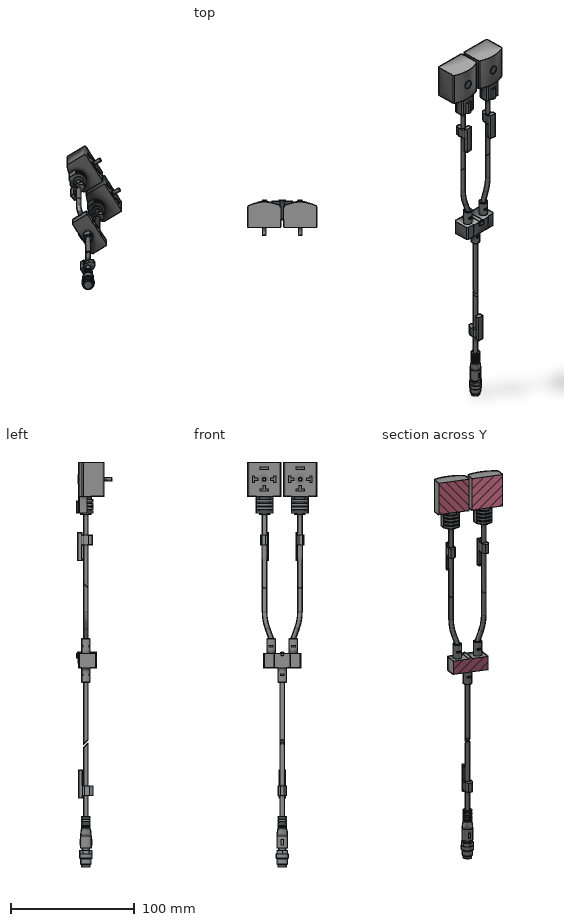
import cadquery as cq
import math


CABLE_DIAMETER = 3.8
CABLE_RADIUS = CABLE_DIAMETER / 2
OVERALL_HEIGHT = 326.5
BACK_Y = 7.41
OVERALL_DEPTH = 28.33

PLUG_WIDTH = 26.8
PLUG_HEIGHT = 27.3
PLUG_OUTER_X = 28.0
PLUG_X = PLUG_OUTER_X - PLUG_WIDTH / 2
PLUG_BASE_Z = OVERALL_HEIGHT - PLUG_HEIGHT
PLUG_CENTRE_Z = PLUG_BASE_Z + PLUG_HEIGHT / 2
PLUG_FRONT_Y = -14.75
PLUG_SIDE_BACK_Y = 2.0
PLUG_ARCH_EDGE_Y = 3.1
PLUG_ARCH_PEAK_Y = 5.9
PLUG_BACK_BEVEL = 0.8
PLUG_FRONT_FILLET = 1.0
SCREW_DIAMETER = 3.0
SCREW_TIP_CHAMFER = 0.3
SCREW_TIP_Y = BACK_Y - OVERALL_DEPTH
SCREW_HEAD_DIAMETER = 6.9
SCREW_HEAD_BACK_Y = 6.3
FACE_RECESS_DEPTH = 0.8
CONTACT_OUTER_DISTANCE = 9.5
CONTACT_STEM_INNER_DISTANCE = 5.1
CONTACT_BAR_THICKNESS = 1.8
CONTACT_STEM_WIDTH = 2.2
SIDE_CONTACT_BAR = 5.2
GROUND_CONTACT_BAR = 7.0
FACE_MARK_WIDTH = 7.0
FACE_MARK_HEIGHT = 2.0
FACE_MARK_OFFSET_Z = 9.0

BRANCH_X = 14.25
GLAND_BASE_Z = 285.5
GLAND_HALF_WIDTH = 6.9
GLAND_FRONT_Y = -5.95
GLAND_FLANK_FRONT_Y = -0.95
GLAND_FLANK_BACK_Y = 4.95
GLAND_BACK_Y = 5.9
GLAND_BACK_HALF_WIDTH = 5.4
GLAND_CORE_RADIUS = 4.4
RIDGE_THICKNESS = 2.0
RIDGE_PITCH = 3.0
RIDGE_COUNT = 4
GLAND_COLLAR_DIAMETER = 8.5
GLAND_COLLAR_HEIGHT = 1.0
GLAND_RIB_TOP_WIDTH = 3.0
GLAND_RIB_BASE_WIDTH = 5.0
GLAND_RIB_HEIGHT = 10.0

BRANCH_CUT_Z = 227.0
MAIN_CUT_UPPER_Z = 100.9
MAIN_CUT_LOWER_Z = 98.3

DISTRIBUTOR_BASE_Z = 160.8
DISTRIBUTOR_TOP_Z = 172.5
DISTRIBUTOR_HALF_WIDTH = 15.2
DISTRIBUTOR_FRONT_Y = -8.75
DISTRIBUTOR_BACK_Y = 5.9
DISTRIBUTOR_CHAMFER = 0.9
DISTRIBUTOR_GROOVE_X = 6.4
DISTRIBUTOR_GROOVE_SIZE = 0.3
BACK_WEDGE_HALF_WIDTH = 8.3
BACK_WEDGE_Y = 6.7
BACK_TAB_WIDTH = 5.0
BACK_TAB_HEIGHT = 3.8
BEAD_DIAMETER = 3.8
BEAD_HOLE_DIAMETER = 2.2
BEAD_HOLE_DEPTH = 1.0
BEAD_AXIS_Z = 171.6
SLEEVE_DIAMETER = 7.0
SLEEVE_LENGTH = 11.8
SLEEVE_CHAMFER = 0.4
SLEEVE_X = 8.9
WINDOW_WIDTH = 3.2
WINDOW_HEIGHT = 1.2
WINDOW_DEPTH = 1.0
WINDOW_OFFSET = 5.5

BEND_START_Z = 205.8
BEND_RADIUS = 38.5
SLEEVE_TOP_Z = DISTRIBUTOR_TOP_Z + SLEEVE_LENGTH
BRANCH_END_DEPTH = 2.0

PLATE_LENGTH = 22.6
PLATE_FRONT_Y = 2.9
PLATE_BACK_Y = 5.85
PLATE_LIP = 1.2
PLATE_LIP_FRONT_Y = 2.4
CLIP_LENGTH = 7.8
CLIP_INSET = 2.0
CLIP_FRONT_Y = -5.85
CLIP_FRONT_HALF_WIDTH = 1.4
CLIP_SHOULDER_Y = -2.95
CLIP_CHEEK_Y = 0.95
BRANCH_LABEL_Z = 247.2
BRANCH_LABEL_TURN = 7.0
BRANCH_LABEL_SHIFT_Y = 0.5
BRANCH_PLATE_WIDTH = 5.2
BRANCH_CLIP_WIDTH = 5.8
MAIN_LABEL_Z = 55.7
MAIN_PLATE_WIDTH = 5.0
MAIN_CLIP_WIDTH = 6.8

CONNECTOR_TOP_Z = 40.9
GRIP_RADIUS = 3.5
GRIP_GROOVE_RADIUS = 2.95
GRIP_GROOVES = ((39.0, 1.4), (36.1, 1.4), (33.5, 0.8), (31.8, 0.8))
SHOULDER_TOP_Z = 30.8
SHOULDER_BASE_Z = 26.5
BODY_RADIUS = 4.4
SHOULDER_RADIUS = 4.25
BODY_TOP_Z = 25.3
BODY_BASE_Z = 15.4
NECK_RADIUS = 2.95
NUT_TOP_Z = 13.5
NUT_CORNER_RADIUS = 5.0
FLANGE_TOP_Z = 10.6
FLANGE_RADIUS = 5.0
FLANGE_BASE_Z = 7.4
SPIGOT_RADIUS = 4.25
SPIGOT_TOP_Z = 6.6
SPIGOT_BASE_Z = 2.6
TIP_TOP_Z = 1.7
TIP_RADIUS = 3.45
BODY_MARK_WIDTH = 1.8
BODY_MARK_BASE_Z = 18.0
BODY_MARK_HEIGHT = 4.3
BODY_MARK_BACK_Y = 4.8


def block(x_range, y_range, z_range):
    """Box between two limits along each axis."""
    sizes = [high - low for low, high in (x_range, y_range, z_range)]
    return cq.Workplane("XY").box(*sizes, centered=False).translate((x_range[0], y_range[0], z_range[0]))


def centred(width, middle=0.0):
    """Pair of limits lying evenly about a middle."""
    return (middle - width / 2, middle + width / 2)


def post(radius, base_z, top_z, x=0.0):
    """Vertical cylinder on the cable plane."""
    return cq.Workplane("XY", origin=(x, 0, base_z)).circle(radius).extrude(top_z - base_z)


def rod_along_y(diameter, y_range, x, z):
    """Cylinder parallel to Y."""
    sketch_plane = cq.Workplane("XZ", origin=(x, y_range[1], z))
    return sketch_plane.circle(diameter / 2).extrude(y_range[1] - y_range[0])


def oblique_end(cable, x, axis_z, slope, keep_above):
    """Cut a vertical cable along a 45 degree plane that leans in the YZ plane."""
    reach = 2 * CABLE_DIAMETER
    far_side = -1 if keep_above else 1
    far_z = axis_z + far_side * 2 * reach
    waste = (
        cq.Workplane("YZ", origin=(x - reach, 0, 0))
        .polyline([
            (-reach, axis_z - slope * reach),
            (reach, axis_z + slope * reach),
            (reach, far_z),
            (-reach, far_z),
        ])
        .close()
        .extrude(2 * reach)
    )
    return cable.cut(waste)


def mirrored(half):
    """The same body on the other side of the YZ plane, as a separate solid."""
    return half.mirror("YZ")



def plug_housing():
    half = PLUG_WIDTH / 2
    arch_half = half - PLUG_BACK_BEVEL
    return (
        cq.Workplane("XY", origin=(PLUG_X, 0, PLUG_BASE_Z))
        .moveTo(-half, PLUG_FRONT_Y)
        .lineTo(half, PLUG_FRONT_Y)
        .lineTo(half, PLUG_SIDE_BACK_Y)
        .lineTo(arch_half, PLUG_ARCH_EDGE_Y)
        .threePointArc((0, PLUG_ARCH_PEAK_Y), (-arch_half, PLUG_ARCH_EDGE_Y))
        .lineTo(-half, PLUG_SIDE_BACK_Y)
        .close()
        .extrude(PLUG_HEIGHT)
        .edges("|Z and <Y")
        .fillet(PLUG_FRONT_FILLET)
    )


def contact_recess(bar_length, turn):
    """T-shaped recess with its bar outermost, turned about the screw axis."""
    y_range = (PLUG_FRONT_Y, PLUG_FRONT_Y + FACE_RECESS_DEPTH)
    bar_inner = CONTACT_OUTER_DISTANCE - CONTACT_BAR_THICKNESS
    bar = block((bar_inner, CONTACT_OUTER_DISTANCE), y_range, centred(bar_length))
    stem = block((CONTACT_STEM_INNER_DISTANCE, CONTACT_OUTER_DISTANCE), y_range, centred(CONTACT_STEM_WIDTH))
    recess = bar.union(stem).rotate((0, 0, 0), (0, 1, 0), turn)
    return recess.translate((PLUG_X, 0, PLUG_CENTRE_Z))


def plug_face_recesses():
    y_range = (PLUG_FRONT_Y, PLUG_FRONT_Y + FACE_RECESS_DEPTH)
    mark_z = PLUG_CENTRE_Z + FACE_MARK_OFFSET_Z
    recesses = block(centred(FACE_MARK_WIDTH, PLUG_X), y_range, centred(FACE_MARK_HEIGHT, mark_z))
    for bar_length, turn in ((SIDE_CONTACT_BAR, 0), (GROUND_CONTACT_BAR, 90), (SIDE_CONTACT_BAR, 180)):
        recesses = recesses.union(contact_recess(bar_length, turn))
    return recesses


def plug_screw():
    shank = rod_along_y(SCREW_DIAMETER, (SCREW_TIP_Y, 0), PLUG_X, PLUG_CENTRE_Z)
    shank = shank.faces("<Y").chamfer(SCREW_TIP_CHAMFER)
    head = rod_along_y(SCREW_HEAD_DIAMETER, (0, SCREW_HEAD_BACK_Y), PLUG_X, PLUG_CENTRE_Z)
    return shank.union(head)


def gland_ridge(base_z):
    """Front half of the gland outline, one ridge thick."""
    return (
        cq.Workplane("XY", origin=(BRANCH_X, 0, base_z))
        .moveTo(-GLAND_HALF_WIDTH, GLAND_FLANK_FRONT_Y)
        .threePointArc((0, GLAND_FRONT_Y), (GLAND_HALF_WIDTH, GLAND_FLANK_FRONT_Y))
        .close()
        .extrude(RIDGE_THICKNESS)
    )


def plug_gland():
    gland = (
        cq.Workplane("XY", origin=(BRANCH_X, 0, GLAND_BASE_Z))
        .polyline([
            (-GLAND_HALF_WIDTH, GLAND_FLANK_FRONT_Y),
            (GLAND_HALF_WIDTH, GLAND_FLANK_FRONT_Y),
            (GLAND_HALF_WIDTH, GLAND_FLANK_BACK_Y),
            (GLAND_BACK_HALF_WIDTH, GLAND_BACK_Y),
            (-GLAND_BACK_HALF_WIDTH, GLAND_BACK_Y),
            (-GLAND_HALF_WIDTH, GLAND_FLANK_BACK_Y),
        ])
        .close()
        .extrude(PLUG_BASE_Z - GLAND_BASE_Z)
    )
    gland = gland.union(post(GLAND_CORE_RADIUS, GLAND_BASE_Z, PLUG_BASE_Z, BRANCH_X))
    for index in range(RIDGE_COUNT):
        gland = gland.union(gland_ridge(GLAND_BASE_Z + index * RIDGE_PITCH))
    back_rib = (
        cq.Workplane("XY", origin=(BRANCH_X, 0, GLAND_BASE_Z))
        .polyline([
            (-GLAND_RIB_BASE_WIDTH / 2, GLAND_FLANK_BACK_Y),
            (GLAND_RIB_BASE_WIDTH / 2, GLAND_FLANK_BACK_Y),
            (GLAND_RIB_BASE_WIDTH / 2, GLAND_BACK_Y),
            (GLAND_RIB_TOP_WIDTH / 2, BACK_Y),
            (-GLAND_RIB_TOP_WIDTH / 2, BACK_Y),
            (-GLAND_RIB_BASE_WIDTH / 2, GLAND_BACK_Y),
        ])
        .close()
        .extrude(GLAND_RIB_HEIGHT)
    )
    collar = post(GLAND_COLLAR_DIAMETER / 2, GLAND_BASE_Z - GLAND_COLLAR_HEIGHT, GLAND_BASE_Z, BRANCH_X)
    return gland.union(back_rib).union(collar)


def valve_plug():
    cable = post(CABLE_RADIUS, BRANCH_CUT_Z - CABLE_DIAMETER, GLAND_BASE_Z, BRANCH_X)
    cable = oblique_end(cable, BRANCH_X, BRANCH_CUT_Z, slope=1, keep_above=True)
    plug = plug_housing().cut(plug_face_recesses())
    return plug.union(plug_screw()).union(plug_gland()).union(cable)



def distributor_block():
    body = block(
        centred(2 * DISTRIBUTOR_HALF_WIDTH),
        (DISTRIBUTOR_FRONT_Y, DISTRIBUTOR_BACK_Y),
        (DISTRIBUTOR_BASE_Z, DISTRIBUTOR_TOP_Z),
    )
    body = body.edges("|Z").chamfer(DISTRIBUTOR_CHAMFER)
    for side in (-1, 1):
        body = body.cut(block(
            centred(DISTRIBUTOR_GROOVE_SIZE, side * DISTRIBUTOR_GROOVE_X),
            (DISTRIBUTOR_FRONT_Y, DISTRIBUTOR_FRONT_Y + DISTRIBUTOR_GROOVE_SIZE),
            (DISTRIBUTOR_BASE_Z, DISTRIBUTOR_TOP_Z),
        ))
    return body


def distributor_back():
    """Wedge that thickens the back toward the top, with a tab at its upper edge."""
    wedge = (
        cq.Workplane("YZ", origin=(-BACK_WEDGE_HALF_WIDTH, 0, 0))
        .polyline([
            (0, DISTRIBUTOR_BASE_Z),
            (DISTRIBUTOR_BACK_Y, DISTRIBUTOR_BASE_Z),
            (BACK_WEDGE_Y, DISTRIBUTOR_TOP_Z),
            (0, DISTRIBUTOR_TOP_Z),
        ])
        .close()
        .extrude(2 * BACK_WEDGE_HALF_WIDTH)
    )
    tab = block(
        centred(BACK_TAB_WIDTH),
        (0, BACK_Y),
        (DISTRIBUTOR_TOP_Z - BACK_TAB_HEIGHT, DISTRIBUTOR_TOP_Z),
    )
    return wedge.union(tab)


def sleeve(x, base_z, free_end, window_z):
    """Cable sleeve with a chamfered free end and a window at front and back."""
    body = post(SLEEVE_DIAMETER / 2, base_z, base_z + SLEEVE_LENGTH, x)
    body = body.faces(free_end).chamfer(SLEEVE_CHAMFER)
    window_y = SLEEVE_DIAMETER / 2 - WINDOW_DEPTH / 2
    for side in (-1, 1):
        body = body.cut(block(
            centred(WINDOW_WIDTH, x),
            centred(WINDOW_DEPTH, side * window_y),
            centred(WINDOW_HEIGHT, window_z),
        ))
    return body


def branch_cable():
    """Cable that comes straight down, bends inward and runs straight on into its sleeve."""
    inward = BRANCH_X - SLEEVE_X
    drop = BEND_START_Z - SLEEVE_TOP_Z
    centre_gap = BEND_RADIUS - inward
    turn = math.atan2(drop, centre_gap) - math.acos(BEND_RADIUS / math.hypot(centre_gap, drop))

    def on_bend(angle):
        shift = BEND_RADIUS * (1 - math.cos(angle))
        return (BRANCH_X - shift, BEND_START_Z - BEND_RADIUS * math.sin(angle))

    path = (
        cq.Workplane("XZ")
        .moveTo(BRANCH_X, BEND_START_Z)
        .threePointArc(on_bend(turn / 2), on_bend(turn))
        .lineTo(
            SLEEVE_X - BRANCH_END_DEPTH * math.sin(turn),
            SLEEVE_TOP_Z - BRANCH_END_DEPTH * math.cos(turn),
        )
    )
    profile = cq.Workplane("XY", origin=(BRANCH_X, 0, BEND_START_Z)).circle(CABLE_RADIUS)
    bent = profile.sweep(path)
    straight = post(CABLE_RADIUS, BEND_START_Z, BRANCH_CUT_Z + CABLE_DIAMETER, BRANCH_X)
    straight = oblique_end(straight, BRANCH_X, BRANCH_CUT_Z, slope=1, keep_above=False)
    return straight.union(bent)


def distributor():
    body = distributor_block().union(distributor_back())

    bead = rod_along_y(BEAD_DIAMETER, (DISTRIBUTOR_FRONT_Y, BACK_WEDGE_Y), 0, BEAD_AXIS_Z)
    hole_limits = (DISTRIBUTOR_FRONT_Y, DISTRIBUTOR_FRONT_Y + BEAD_HOLE_DEPTH)
    bead_hole = rod_along_y(BEAD_HOLE_DIAMETER, hole_limits, 0, BEAD_AXIS_Z)
    body = body.union(bead).cut(bead_hole)

    for side in (-1, 1):
        window_z = DISTRIBUTOR_TOP_Z + WINDOW_OFFSET
        body = body.union(sleeve(side * SLEEVE_X, DISTRIBUTOR_TOP_Z, ">Z", window_z))
    lower_sleeve_z = DISTRIBUTOR_BASE_Z - SLEEVE_LENGTH
    body = body.union(sleeve(0, lower_sleeve_z, "<Z", DISTRIBUTOR_BASE_Z - WINDOW_OFFSET))

    branch = branch_cable()
    main_cable = post(CABLE_RADIUS, MAIN_CUT_UPPER_Z - CABLE_DIAMETER, lower_sleeve_z)
    main_cable = oblique_end(main_cable, 0, MAIN_CUT_UPPER_Z, slope=-1, keep_above=True)
    return body.union(branch).union(mirrored(branch)).union(main_cable)



def connector_core():
    """Turned grip, rounded shoulder, body, neck, flange and spigot."""
    shoulder_step = SHOULDER_RADIUS - GRIP_RADIUS
    shoulder_height = SHOULDER_TOP_Z - SHOULDER_BASE_Z
    shoulder_middle = (SHOULDER_RADIUS - shoulder_step / 4, SHOULDER_BASE_Z + shoulder_height / 2)
    return (
        cq.Workplane("XZ")
        .polyline([
            (0, CONNECTOR_TOP_Z),
            (0, 0),
            (TIP_RADIUS, 0),
            (TIP_RADIUS, TIP_TOP_Z),
            (SPIGOT_RADIUS, SPIGOT_BASE_Z),
            (SPIGOT_RADIUS, SPIGOT_TOP_Z),
            (FLANGE_RADIUS, FLANGE_BASE_Z),
            (FLANGE_RADIUS, FLANGE_TOP_Z),
            (NECK_RADIUS, FLANGE_TOP_Z),
            (NECK_RADIUS, BODY_BASE_Z),
            (BODY_RADIUS, BODY_BASE_Z),
            (BODY_RADIUS, BODY_TOP_Z),
            (SHOULDER_RADIUS, BODY_TOP_Z),
            (SHOULDER_RADIUS, SHOULDER_BASE_Z),
        ])
        .threePointArc(shoulder_middle, (GRIP_RADIUS, SHOULDER_TOP_Z))
        .lineTo(GRIP_RADIUS, CONNECTOR_TOP_Z)
        .close()
        .revolve(360, (0, 0, 0), (0, 1, 0))
    )


def ring(outer_radius, inner_radius, middle_z, height):
    low, high = centred(height, middle_z)
    return post(outer_radius, low, high).cut(post(inner_radius, low, high))


def hex_nut():
    """Hexagon above the flange with two of its corners on the Y axis."""
    nut = cq.Workplane("XY", origin=(0, 0, FLANGE_TOP_Z)).polygon(6, 2 * NUT_CORNER_RADIUS)
    return nut.extrude(NUT_TOP_Z - FLANGE_TOP_Z).rotate((0, 0, 0), (0, 0, 1), 90)


def connector():
    body = connector_core().union(hex_nut())
    for middle_z, height in GRIP_GROOVES:
        body = body.cut(ring(FLANGE_RADIUS, GRIP_GROOVE_RADIUS, middle_z, height))
    mark_limits = (BODY_MARK_BASE_Z, BODY_MARK_BASE_Z + BODY_MARK_HEIGHT)
    marks = block(centred(BODY_MARK_WIDTH), centred(2 * BODY_MARK_BACK_Y), mark_limits)
    cable = post(CABLE_RADIUS, CONNECTOR_TOP_Z, MAIN_CUT_LOWER_Z + CABLE_DIAMETER)
    cable = oblique_end(cable, 0, MAIN_CUT_LOWER_Z, slope=-1, keep_above=False)
    return body.union(marks).union(cable)



def label_clip(plate_width, clip_width):
    """Uncut clip near the top of a label plate; the plate starts at Z = 0."""
    plate = block(centred(plate_width), (PLATE_FRONT_Y, PLATE_BACK_Y), (0, PLATE_LENGTH))
    lip = block(centred(plate_width), (PLATE_LIP_FRONT_Y, PLATE_FRONT_Y), (0, PLATE_LIP))
    clip_z = PLATE_LENGTH - CLIP_INSET - CLIP_LENGTH
    clip = (
        cq.Workplane("XY", origin=(0, 0, clip_z))
        .polyline([
            (-CLIP_FRONT_HALF_WIDTH, CLIP_FRONT_Y),
            (CLIP_FRONT_HALF_WIDTH, CLIP_FRONT_Y),
            (clip_width / 2, CLIP_SHOULDER_Y),
            (clip_width / 2, CLIP_CHEEK_Y),
            (plate_width / 2, PLATE_FRONT_Y),
            (-plate_width / 2, PLATE_FRONT_Y),
            (-clip_width / 2, CLIP_CHEEK_Y),
            (-clip_width / 2, CLIP_SHOULDER_Y),
        ])
        .close()
        .extrude(CLIP_LENGTH)
    )
    return plate.union(lip).union(clip)


def branch_label_clip():
    clip = label_clip(BRANCH_PLATE_WIDTH, BRANCH_CLIP_WIDTH)
    clip = clip.rotate((0, 0, 0), (0, 0, 1), BRANCH_LABEL_TURN)
    clip = clip.translate((0, BRANCH_LABEL_SHIFT_Y, 0))
    clip = clip.cut(post(CABLE_RADIUS, 0, PLATE_LENGTH))
    return clip.translate((BRANCH_X, 0, BRANCH_LABEL_Z))


def main_label_clip():
    """Hung the other way up, with the clip near the bottom of the plate."""
    clip = label_clip(MAIN_PLATE_WIDTH, MAIN_CLIP_WIDTH)
    clip = clip.cut(post(CABLE_RADIUS, 0, PLATE_LENGTH))
    return clip.mirror("XY").translate((0, 0, MAIN_LABEL_Z + PLATE_LENGTH))


right_plug = valve_plug()
right_label_clip = branch_label_clip()

result = cq.Compound.makeCompound([
    right_plug.val(),
    mirrored(right_plug).val(),
    distributor().val(),
    connector().val(),
    right_label_clip.val(),
    mirrored(right_label_clip).val(),
    main_label_clip().val(),
])